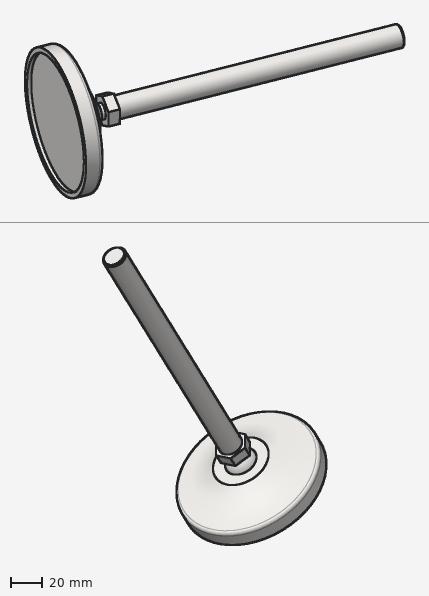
import cadquery as cq
import math

length = 241.0

plate_diameter = 100.0
plate_height = 23.4
plate_top_diameter = 38.5
rim_height = 9.6
shoulder_radius = 3.0
flare_end_slope = 15.0
flare_mid_radius = 28.2
flare_mid_height = 18.0
recess_diameter = 92.5
recess_depth = 3.0

ball_radius = 11.3
ball_center_height = 20.2

neck_diameter = 11.0
hex_start = 32.8
hex_height = 8.0
hex_across_flats = 20.0
rod_diameter = 16.0
rod_chamfer = 1.0


def cylinder_along_axis(diameter, start, end):
    """Solid cylinder around the Y axis between two heights above the sole."""
    return cq.Workplane("XZ", origin=(0, start, 0)).circle(diameter / 2).extrude(start - end)


def foot_plate():
    """Revolved disc with a rounded shoulder, a concave flare and a recessed sole."""
    plate_radius = plate_diameter / 2

    def shoulder_point(angle):
        """Point on the shoulder arc at an angle in degrees above the radial direction."""
        turn = math.radians(angle)
        return (
            plate_radius - shoulder_radius + shoulder_radius * math.cos(turn),
            rim_height + shoulder_radius * math.sin(turn),
        )

    shoulder_end_angle = 90 - flare_end_slope
    disc = (
        cq.Workplane("XY")
        .lineTo(plate_radius, 0)
        .lineTo(plate_radius, rim_height)
        .threePointArc(shoulder_point(shoulder_end_angle / 2), shoulder_point(shoulder_end_angle))
        .threePointArc(
            (flare_mid_radius, flare_mid_height),
            (plate_top_diameter / 2, plate_height),
        )
        .lineTo(0, plate_height)
        .close()
        .revolve(360, (0, 0, 0), (0, 1, 0))
    )
    return disc.cut(cylinder_along_axis(recess_diameter, 0, recess_depth))


def ball():
    """Ball centered inside the plate, its upper part standing out around the neck."""
    return (
        cq.Workplane("XY", origin=(0, ball_center_height, 0))
        .moveTo(0, -ball_radius)
        .threePointArc((ball_radius, 0), (0, ball_radius))
        .close()
        .revolve(360, (0, 0, 0), (0, 1, 0))
    )


def spindle():
    """Neck from the ball, hexagon with flats facing X, and chamfered rod."""
    hex_end = hex_start + hex_height
    across_corners = hex_across_flats / math.cos(math.pi / 6)
    neck = cylinder_along_axis(neck_diameter, ball_center_height, hex_start)
    hexagon = (
        cq.Workplane("XZ", origin=(0, hex_start, 0))
        .transformed(rotate=(0, 0, 90))
        .polygon(6, across_corners)
        .extrude(-hex_height)
    )
    rod = cylinder_along_axis(rod_diameter, hex_end, length).faces(">Y").chamfer(rod_chamfer)
    return neck.union(hexagon).union(rod)


result = foot_plate().union(ball()).union(spindle())